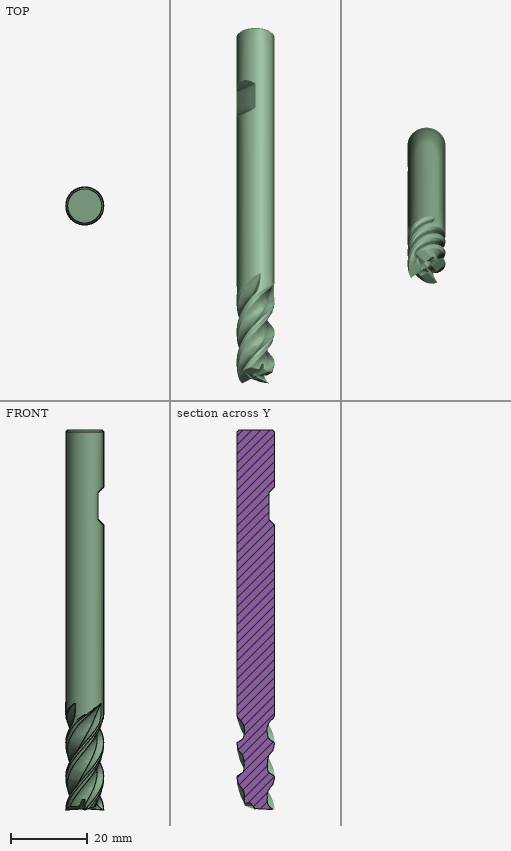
import cadquery as cq
import math

length = 100.0
diameter = 10.0
radius = diameter / 2
back_chamfer = 0.5

flat_depth = 1.5
flat_length = 7.0
flat_centre_z = 80.0

flute_count = 4
flute_spacing = 360 / flute_count
helix_angle = 41.5
helix_lead = math.pi * diameter / math.tan(math.radians(helix_angle))
full_depth_end = 22.3
flute_end = 28.0
runout_sections = 5
runout_tip_angle = 44.0
runout_exponent = 1.4
runout_last_size = 0.05
core_radius = 3.1
rake_root_radius = 3.3
rake_root_lag = 13.0

primary_angle = 9.0
primary_drop = 0.05
primary_radius = radius - primary_drop
heel_angle = 22.0
heel_radius = 4.6
floor_angle = 56.0

dish_depth = 0.3
end_relief_angle = 20.0
gash_width = 1.4
gash_root_width = 0.6
gash_foot_height = 1.0
gash_slope = 52.0
long_gash_depth = 2.8
short_gash_depth = 1.8

clearance = 1.0
z_axis = cq.Vector(0, 0, 1)
origin = cq.Vector(0, 0, 0)


def polar(distance, angle):
    turn = math.radians(angle)
    return cq.Vector(distance * math.cos(turn), distance * math.sin(turn), 0)


def turn_at(height):
    """Angle the helix has turned through at a given height."""
    return 360 * height / helix_lead


def flute_edges(size):
    """Two lands, floor and rake face of the flute behind the cutting edge at angle 0.

    At size 1 the flute is complete; smaller sizes shrink it towards its closing point on the shank.
    """

    def point(distance, angle):
        shrunk_distance = radius + size * (distance - radius)
        return polar(shrunk_distance, runout_tip_angle + size * (angle - runout_tip_angle))

    edge = point(radius, 0)
    primary = point(primary_radius, primary_angle)
    heel = point(heel_radius, heel_angle)
    floor = point(core_radius, floor_angle)
    root = point(rake_root_radius, flute_spacing - rake_root_lag)
    next_edge = point(radius, flute_spacing)
    return [
        cq.Edge.makeLine(edge, primary),
        cq.Edge.makeLine(primary, heel),
        cq.Edge.makeThreePointArc(heel, floor, root),
        cq.Edge.makeLine(root, next_edge),
    ]


def fluted_length():
    """Twisted body with all flutes at full depth."""
    edges = []
    for index in range(flute_count):
        angle = index * flute_spacing
        edges += [edge.rotate(origin, z_axis, angle) for edge in flute_edges(1)]
    body = cq.Solid.extrudeLinearWithRotation(
        cq.Wire.assembleEdges(edges),
        [],
        origin,
        z_axis * full_depth_end,
        turn_at(full_depth_end),
    )
    return cq.Workplane(body)


def flute_outline(size):
    """Closed section of a flute, reaching outside the shank."""
    edges = flute_edges(size)
    start = edges[0].startPoint()
    end = edges[-1].endPoint()
    outward = 1 + clearance / radius
    outer_start = start * outward
    outer_end = end * outward
    outer_middle = (start + end).normalized() * (radius + clearance)
    return cq.Wire.assembleEdges(edges + [
        cq.Edge.makeLine(end, outer_end),
        cq.Edge.makeThreePointArc(outer_end, outer_middle, outer_start),
        cq.Edge.makeLine(outer_start, start),
    ])


def runout_cutter(angle):
    """End of a flute, whose section follows the helix while it shrinks and leaves the shank."""
    sections = []
    for index in range(runout_sections):
        part = index / (runout_sections - 1)
        height = full_depth_end + part * (flute_end - full_depth_end)
        size = 1 - (1 - runout_last_size) * part**runout_exponent
        section = flute_outline(size).rotate(origin, z_axis, angle + turn_at(height))
        sections.append(section.translate(z_axis * height))
    return cq.Workplane(cq.Solid.makeLoft(sections))


def end_prism(outline, angle):
    """Radial prism along an angle; its outline is given as (distance behind the radius, height)."""
    prism = cq.Workplane("YZ").polyline(outline).close().extrude(radius + clearance)
    return prism.rotate(origin, z_axis, angle)


def end_relief_cutter(angle):
    """Wedge rising behind the end edge that lies at an angle."""
    reach = radius + clearance
    rise = reach * math.tan(math.radians(end_relief_angle))
    return end_prism([(0, 0), (0, -clearance), (reach, -clearance), (reach, rise)], angle)


def gash_cutter(depth, angle):
    """Notch in front of the end edge that lies at an angle, deepening outward from the axis."""
    outline = [
        (0, -clearance),
        (0, depth),
        (-gash_root_width, depth),
        (-gash_width, gash_foot_height),
        (-gash_width, -clearance),
    ]
    reach = radius + clearance
    rise = reach * math.tan(math.radians(gash_slope))
    sloped_floor = (
        cq.Workplane("XZ")
        .polyline([(0, 0), (0, -clearance), (reach, -clearance), (reach, rise)])
        .close()
        .extrude(gash_width)
        .rotate(origin, z_axis, angle)
    )
    return end_prism(outline, angle).intersect(sloped_floor)


def flat_cutter():
    """Trapezoid that mills the clamping flat."""
    floor_x = radius - flat_depth
    outer_x = radius + clearance
    half_floor = flat_length / 2
    half_mouth = half_floor + flat_depth + clearance
    return (
        cq.Workplane("XZ")
        .polyline([
            (floor_x, flat_centre_z - half_floor),
            (floor_x, flat_centre_z + half_floor),
            (outer_x, flat_centre_z + half_mouth),
            (outer_x, flat_centre_z - half_mouth),
        ])
        .close()
        .extrude(radius, both=True)
    )


shank = (
    cq.Workplane("XY", origin=(0, 0, full_depth_end))
    .circle(radius)
    .extrude(length - full_depth_end)
    .faces(">Z")
    .chamfer(back_chamfer)
    .cut(flat_cutter())
)
for index in range(flute_count):
    shank = shank.cut(runout_cutter(index * flute_spacing))

fluted = fluted_length().cut(cq.Workplane(cq.Solid.makeCone(radius, 0, dish_depth)))
for index in range(flute_count):
    angle = index * flute_spacing
    gash_depth = short_gash_depth if index % 2 == 0 else long_gash_depth
    fluted = fluted.cut(end_relief_cutter(angle)).cut(gash_cutter(gash_depth, angle))

result = shank.union(fluted)